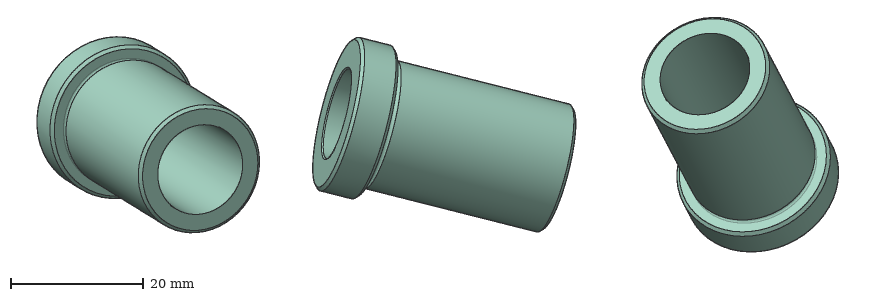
import cadquery as cq

total_length = 35.0
head_diameter = 24.0
head_length = 6.0
shank_diameter = 20.0
bore_diameter = 14.0
outer_chamfer = 0.5
bore_chamfer = 0.2

groove_radius = 0.5

head_radius = head_diameter / 2
shank_radius = shank_diameter / 2
groove_middle = head_length + groove_radius
groove_end = groove_middle + groove_radius


def make_body():
    """Revolve the solid outer shape, with its chamfers and relief groove."""
    profile = (
        cq.Workplane("XY")
        .moveTo(0, 0)
        .lineTo(0, head_radius - outer_chamfer)
        .lineTo(outer_chamfer, head_radius)
        .lineTo(head_length - outer_chamfer, head_radius)
        .lineTo(head_length, head_radius - outer_chamfer)
        .lineTo(head_length, shank_radius)
        .threePointArc((groove_middle, shank_radius - groove_radius), (groove_end, shank_radius))
        .lineTo(total_length - outer_chamfer, shank_radius)
        .lineTo(total_length, shank_radius - outer_chamfer)
        .lineTo(total_length, 0)
        .close()
    )
    return profile.revolve(360, (0, 0, 0), (1, 0, 0))


def cut_bore(body):
    """Cut the through bore and chamfer its mouth in the head."""
    bore = cq.Workplane("YZ").circle(bore_diameter / 2).extrude(total_length)
    bored = body.cut(bore)
    smallest_circle = cq.selectors.RadiusNthSelector(0)
    return bored.faces("<X").edges(smallest_circle).chamfer(bore_chamfer)


result = cut_bore(make_body())